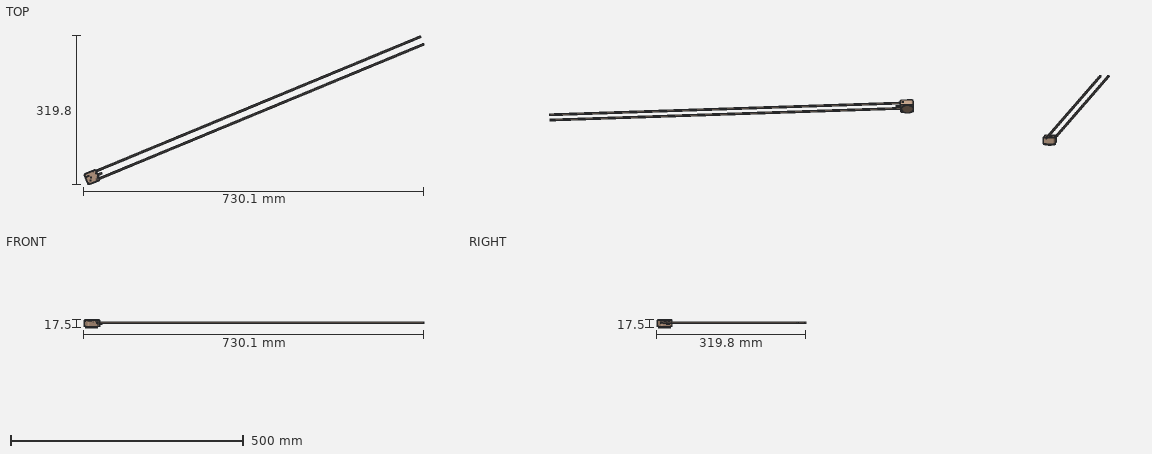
import cadquery as cq

heading = 22.5

base_diameter = 25.5
total_height = 17.5
base_height = 3.0
housing_width = base_diameter
back_x = -base_diameter / 2
front_x = 15.0
corner_radius = 4.0
top_chamfer = 1.5

wire_diameter = 3.8
wire_offset = 9.0
wire_z = 11.0
wire_end_x = 769.0
socket_depth = 7.0

tab_length = 9.0
tab_width = 4.0
tab_height = 3.0
tab_bottom_z = 7.0

hole_depth = 4.0
centre_hole_x = -1.1
top_hole_diameter = 2.0
rear_hole_x = -4.75
rear_hole_offset = 5.0
side_hole_diameter = 2.0
side_hole_depth = 1.8
side_hole_x = 9.0
end_notch_offset = 4.75
end_notch_width = 2.0
end_notch_length = 4.0
rear_groove_width = 1.5


def turn(body):
    """Turn a body from the local wire direction to its final heading."""
    return body.rotate((0, 0, 0), (0, 0, 1), heading)


def make_wire(offset):
    """Straight round wire whose inner end sits at the bottom of its socket."""
    start_x = front_x - socket_depth
    plane = cq.Plane(origin=(start_x, offset, wire_z), xDir=(0, 1, 0), normal=(1, 0, 0))
    return cq.Workplane(plane).circle(wire_diameter / 2).extrude(wire_end_x - start_x)


def make_block():
    """Rounded block, chamfered around its top, standing on the round base."""
    base = cq.Workplane("XY").circle(base_diameter / 2).extrude(base_height)
    block = (
        cq.Workplane("XY", origin=((front_x + back_x) / 2, 0, base_height))
        .rect(front_x - back_x, housing_width)
        .extrude(total_height - base_height)
        .edges("|Z")
        .fillet(corner_radius)
        .faces(">Z")
        .chamfer(top_chamfer)
    )
    return block.union(base)


def make_tab():
    """Small bar projecting from the front face between the wires."""
    return cq.Workplane("XY").box(tab_length, tab_width, tab_height, centered=(False, True, False)).translate(
        (front_x, 0, tab_bottom_z)
    )


def make_top_holes():
    """Centre hole and a symmetric pair behind it, all blind from the top."""
    centres = [(centre_hole_x, 0), (rear_hole_x, rear_hole_offset), (rear_hole_x, -rear_hole_offset)]
    return (
        cq.Workplane("XY", origin=(0, 0, total_height - hole_depth))
        .pushPoints(centres)
        .circle(top_hole_diameter / 2)
        .extrude(hole_depth)
    )


def make_rear_groove():
    """Open groove from the back face to the rear hole on the +Y side."""
    length = rear_hole_x - back_x
    return cq.Workplane("XY").box(length, rear_groove_width, hole_depth, centered=(False, True, False)).translate(
        (back_x, rear_hole_offset, total_height - hole_depth)
    )


def make_end_notch(offset):
    """Notch in the top of the front face."""
    return cq.Workplane("XY").box(
        end_notch_length, end_notch_width, hole_depth, centered=(False, True, False)
    ).translate((front_x - end_notch_length, offset, total_height - hole_depth))


def make_side_hole(side):
    """Blind hole into one long side face; side is +1 or -1."""
    plane = cq.Plane(
        origin=(side_hole_x, side * housing_width / 2, wire_z), xDir=(1, 0, 0), normal=(0, -side, 0)
    )
    return cq.Workplane(plane).circle(side_hole_diameter / 2).extrude(side_hole_depth)


housing = make_block().union(make_tab()).cut(make_top_holes()).cut(make_rear_groove())
wires = []
for side in (1, -1):
    wire = make_wire(side * wire_offset)
    housing = housing.cut(wire).cut(make_end_notch(side * end_notch_offset)).cut(make_side_hole(side))
    wires.append(turn(wire).val())

result = cq.Compound.makeCompound([turn(housing).val(), *wires])